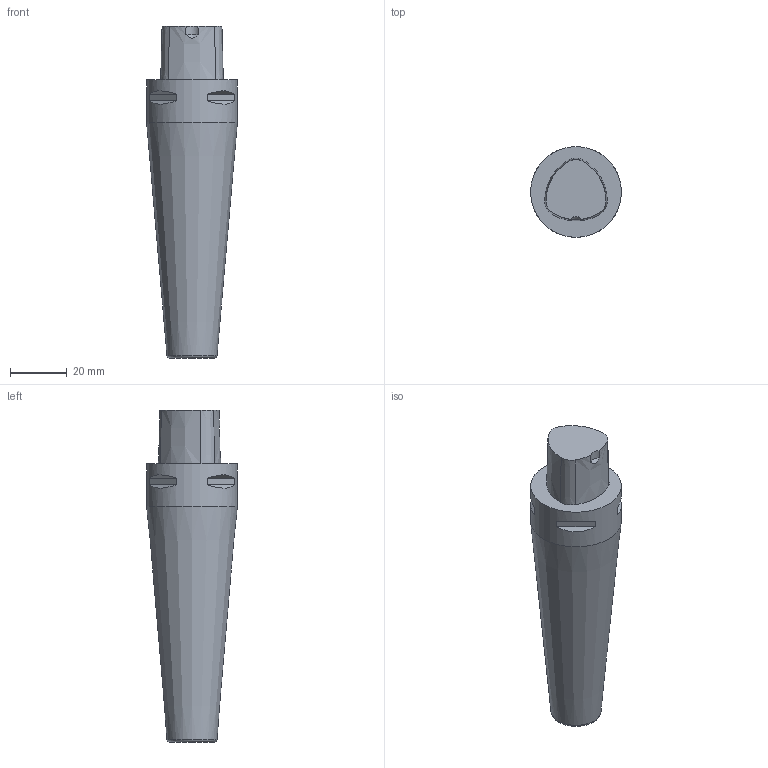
import cadquery as cq
import math


collar_diameter = 32.0
collar_height = 15.0
body_length = 83.0
body_taper_angle = 5.0
body_tip_fillet = 1.0

shank_length = 19.0
shank_width = 22.05
lobe_radius = 5.55
shank_taper_ratio = 1.0 / 20.0
lobe_count = 3
first_lobe_angle = 90.0

notch_radius = 3.0
notch_depth = 3.15
notch_bite = 1.0
notch_cone_half_angle = 45.0

groove_count = 4
first_groove_angle = 45.0
groove_floor_distance = 14.5
groove_floor_width = 2.4
groove_wall_angle = 37.0
groove_center_z = -6.2
groove_margin = 1.0

collar_radius = collar_diameter / 2
body_tip_radius = collar_radius - body_length * math.tan(math.radians(body_taper_angle))
flank_radius = shank_width - lobe_radius
lobe_center_distance = (shank_width - 2 * lobe_radius) / math.sqrt(3)
flank_distance = flank_radius - lobe_center_distance
shank_taper_angle = math.degrees(math.atan(shank_taper_ratio / 2))
shank_top_inset = shank_length * shank_taper_ratio / 2


def polar(radius, angle, center=(0.0, 0.0)):
    """Point at a radius and an angle in degrees around a center."""
    turn = math.radians(angle)
    return (center[0] + radius * math.cos(turn), center[1] + radius * math.sin(turn))


def make_body():
    """Collar with the cone below it, revolved about Z."""
    tip_z = -collar_height - body_length
    profile = (
        cq.Workplane("XZ")
        .moveTo(0, 0)
        .lineTo(collar_radius, 0)
        .lineTo(collar_radius, -collar_height)
        .lineTo(body_tip_radius, tip_z)
        .lineTo(0, tip_z)
        .close()
    )
    body = profile.revolve(360, (0, 0, 0), (0, 1, 0))
    return body.faces("<Z").edges().fillet(body_tip_fillet)


def make_shank():
    """Tapered shank whose section alternates tangent lobe and flank arcs."""
    lobe_pitch = 360.0 / lobe_count
    half_lobe = lobe_pitch / 4
    section = None
    for index in range(lobe_count):
        angle = first_lobe_angle + index * lobe_pitch
        center = polar(lobe_center_distance, angle)
        next_angle = angle + lobe_pitch
        next_center = polar(lobe_center_distance, next_angle)
        if section is None:
            section = cq.Workplane("XY").moveTo(*polar(lobe_radius, angle - half_lobe, center))
        section = section.threePointArc(
            polar(lobe_center_distance + lobe_radius, angle),
            polar(lobe_radius, angle + half_lobe, center),
        )
        section = section.threePointArc(
            polar(flank_distance, angle + lobe_pitch / 2),
            polar(lobe_radius, next_angle - half_lobe, next_center),
        )
    return section.close().extrude(shank_length, taper=shank_taper_angle)


def make_notch():
    """Drill shape with a conical point, standing upright beside the -Y flank."""
    cone_height = notch_radius / math.tan(math.radians(notch_cone_half_angle))
    axis_y = -(flank_distance - shank_top_inset) - notch_radius + notch_bite
    shoulder_z = shank_length - notch_depth
    profile = (
        cq.Workplane("XZ")
        .moveTo(0, shank_length)
        .lineTo(notch_radius, shank_length)
        .lineTo(notch_radius, shoulder_z)
        .lineTo(0, shoulder_z - cone_height)
        .close()
    )
    return profile.revolve(360, (0, 0, 0), (0, 1, 0)).translate((0, axis_y, 0))


def make_groove(angle):
    """Straight trapezoidal cutter that flares outwards from the groove floor."""
    outer_distance = collar_radius + groove_margin
    flare = (outer_distance - groove_floor_distance) * math.tan(math.radians(groove_wall_angle))
    half_floor = groove_floor_width / 2
    half_mouth = half_floor + flare
    cutter = (
        cq.Workplane("XZ")
        .moveTo(groove_floor_distance, groove_center_z - half_floor)
        .lineTo(outer_distance, groove_center_z - half_mouth)
        .lineTo(outer_distance, groove_center_z + half_mouth)
        .lineTo(groove_floor_distance, groove_center_z + half_floor)
        .close()
        .extrude(collar_radius, both=True)
    )
    return cutter.rotate((0, 0, 0), (0, 0, 1), angle)


result = make_body().union(make_shank()).cut(make_notch())
for groove_index in range(groove_count):
    groove_angle = first_groove_angle + groove_index * 360.0 / groove_count
    result = result.cut(make_groove(groove_angle))